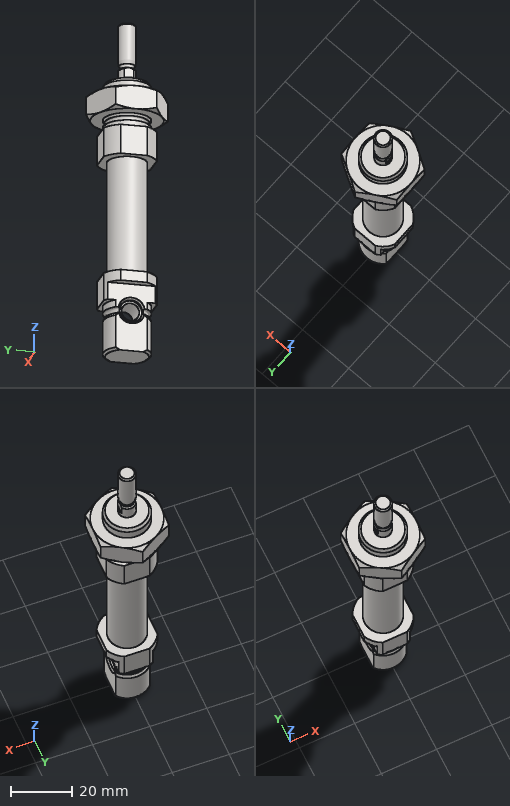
import cadquery as cq
import math

overall_height = 115.0
rod_relief_top = 102.1
rod_shoulder = 99.6
flats_bottom = 96.0
housing_top = 94.3
nut_bottom = 81.9
thread_bottom = 82.6
front_groove_top = 81.1
collar_top = 79.4
front_block_top = 77.2
front_block_bottom = 67.2
rear_block_top = 26.8
ear_bottom = 23.1
rear_block_bottom = 17.2
pivot_height = 14.0

rod_dia = 6.0
rod_tip_chamfer = 0.6
rod_relief_dia = 4.8
rod_relief_cone = 1.4
rod_relief_fillet = 0.3
rod_flat_width = 5.1
rod_insertion = 8.0

thread_dia = 16.0
thread_chamfer_height = 1.2
thread_chamfer_width = 0.8
groove_dia = 13.7
groove_fillet = 1.0 / 2
tube_dia = 13.3
block_width = 17.9
block_corner_dia = 20.0

tang_width = 12.0
rear_groove_top = 14.8
rear_groove_bottom = 13.0
rear_groove_cone = 1.0
rear_end_chamfer = 0.8
pivot_dia = 6.0
pivot_counterbore_dia = 7.6
pivot_mouth_dia = 9.0
pivot_counterbore_depth = 1.5

nut_width = 24.0
nut_height = 8.0
nut_chamfer_angle = 30


def cylinder(diameter, bottom, top):
    """Upright cylinder on the Z axis between two heights."""
    return cq.Workplane("XY", origin=(0, 0, bottom)).circle(diameter / 2).extrude(top - bottom)


def turned(profile):
    """Revolve an outline of (radius, height) points, closed along the Z axis."""
    return profile.close().revolve(360, (0, 0, 0), (0, 1, 0))


def line_profile(points):
    """Straight-sided outline of (radius, height) points."""
    return cq.Workplane("XZ").polyline(points)


def fillet_middle(center_radius, center_height, fillet, direction):
    """Middle point of a quarter arc facing the axis and up (1) or down (-1)."""
    offset = fillet * math.sqrt(0.5)
    return (center_radius - offset, center_height + direction * offset)


def rounded_square_block(bottom, top):
    """Square block whose corners are turned to a larger diameter."""
    square = (
        cq.Workplane("XY", origin=(0, 0, bottom))
        .rect(block_width, block_width)
        .extrude(top - bottom)
    )
    return square.intersect(cylinder(block_corner_dia, bottom, top))


def make_rod():
    """Piston rod with thread relief and two wrench flats."""
    radius = rod_dia / 2
    relief_radius = rod_relief_dia / 2
    shoulder_edge = rod_shoulder - (radius - relief_radius)
    cone_bottom = rod_relief_top - rod_relief_cone
    cone_radius = relief_radius + rod_relief_fillet
    fillet_start = cone_bottom - rod_relief_fillet
    outline = (
        line_profile([
            (0, housing_top - rod_insertion),
            (radius, housing_top - rod_insertion),
            (radius, shoulder_edge),
            (relief_radius, rod_shoulder),
            (relief_radius, fillet_start),
        ])
        .threePointArc(
            fillet_middle(cone_radius, fillet_start, rod_relief_fillet, 1),
            (cone_radius, cone_bottom),
        )
        .lineTo(radius, rod_relief_top)
        .lineTo(radius, overall_height - rod_tip_chamfer)
        .lineTo(radius - rod_tip_chamfer, overall_height)
        .lineTo(0, overall_height)
    )
    rod = turned(outline)
    for side in (-1, 1):
        flat_cut = cq.Workplane("XY").box(
            rod_dia, rod_dia, rod_shoulder - flats_bottom, centered=(True, True, False)
        )
        rod = rod.cut(flat_cut.translate((side * (rod_flat_width + rod_dia) / 2, 0, flats_bottom)))
    return rod


def make_front_end():
    """Threaded neck, runout groove, collar and wrench block."""
    radius = thread_dia / 2
    groove_radius = groove_dia / 2
    fillet_radius = groove_radius + groove_fillet
    lower_fillet = collar_top + groove_fillet
    upper_fillet = front_groove_top - groove_fillet
    outline = (
        line_profile([
            (0, front_block_top),
            (radius, front_block_top),
            (radius, collar_top),
            (fillet_radius, collar_top),
        ])
        .threePointArc(
            fillet_middle(fillet_radius, lower_fillet, groove_fillet, -1),
            (groove_radius, lower_fillet),
        )
        .lineTo(groove_radius, upper_fillet)
        .threePointArc(
            fillet_middle(fillet_radius, upper_fillet, groove_fillet, 1),
            (fillet_radius, front_groove_top),
        )
        .lineTo(radius, thread_bottom)
        .lineTo(radius, housing_top - thread_chamfer_height)
        .lineTo(radius - thread_chamfer_width, housing_top)
        .lineTo(0, housing_top)
    )
    thread = turned(outline)
    return thread.union(rounded_square_block(front_block_bottom, front_block_top))


def make_rear_end():
    """Grooved round tang with side flats, wrench block and pivot hole."""
    radius = thread_dia / 2
    groove_radius = groove_dia / 2
    fillet_radius = groove_radius + groove_fillet
    lower_fillet = rear_groove_bottom + groove_fillet
    upper_fillet = rear_groove_top - groove_fillet
    outline = (
        line_profile([
            (0, 0),
            (radius - rear_end_chamfer, 0),
            (radius, rear_end_chamfer),
            (radius, rear_groove_bottom - rear_groove_cone),
            (fillet_radius, rear_groove_bottom),
        ])
        .threePointArc(
            fillet_middle(fillet_radius, lower_fillet, groove_fillet, -1),
            (groove_radius, lower_fillet),
        )
        .lineTo(groove_radius, upper_fillet)
        .threePointArc(
            fillet_middle(fillet_radius, upper_fillet, groove_fillet, 1),
            (fillet_radius, rear_groove_top),
        )
        .lineTo(radius, rear_groove_top)
        .lineTo(radius, rear_block_bottom)
        .lineTo(0, rear_block_bottom)
    )
    tang = turned(outline)
    lower = tang.union(rounded_square_block(rear_block_bottom, ear_bottom))
    flats = cq.Workplane("XY").rect(tang_width, block_width).extrude(ear_bottom)
    lower = lower.intersect(flats)
    rear = lower.union(rounded_square_block(ear_bottom, rear_block_top))
    return rear.cut(make_pivot_hole())


def make_pivot_hole():
    """Cross hole along X, counterbored and chamfered at both flats."""
    half = tang_width / 2
    bore = pivot_dia / 2
    counterbore = pivot_counterbore_dia / 2
    mouth = pivot_mouth_dia / 2
    chamfer_end = half - (mouth - counterbore)
    counterbore_end = half - pivot_counterbore_depth
    profile = [
        (-half, 0),
        (-half, mouth),
        (-chamfer_end, counterbore),
        (-counterbore_end, counterbore),
        (-counterbore_end, bore),
        (counterbore_end, bore),
        (counterbore_end, counterbore),
        (chamfer_end, counterbore),
        (half, mouth),
        (half, 0),
    ]
    hole = cq.Workplane("XY").polyline(profile).close().revolve(360, (0, 0, 0), (1, 0, 0))
    return hole.translate((0, 0, pivot_height))


def make_housing():
    """Cylinder barrel joining both ends, bored at the front for the rod."""
    housing = make_front_end().union(cylinder(tube_dia, rear_block_top, front_block_bottom))
    housing = housing.union(make_rear_end())
    return housing.cut(cylinder(rod_dia, housing_top - rod_insertion, housing_top))


def make_nut():
    """Hexagon nut with flats facing X and corners chamfered at both ends."""
    corner_radius = nut_width / 2 / math.cos(math.pi / 6)
    face_radius = nut_width / 2
    drop = (corner_radius - face_radius) * math.tan(math.radians(nut_chamfer_angle))
    hexagon = (
        cq.Workplane("XY")
        .polygon(6, 2 * corner_radius)
        .extrude(nut_height)
        .rotate((0, 0, 0), (0, 0, 1), 30)
    )
    envelope = turned(line_profile([
        (0, 0),
        (face_radius, 0),
        (corner_radius, drop),
        (corner_radius, nut_height - drop),
        (face_radius, nut_height),
        (0, nut_height),
    ]))
    nut = hexagon.intersect(envelope).translate((0, 0, nut_bottom))
    return nut.cut(cylinder(thread_dia, nut_bottom, nut_bottom + nut_height))


rod = make_rod()
housing = make_housing()
nut = make_nut()

result = cq.Compound.makeCompound([rod.val(), housing.val(), nut.val()])